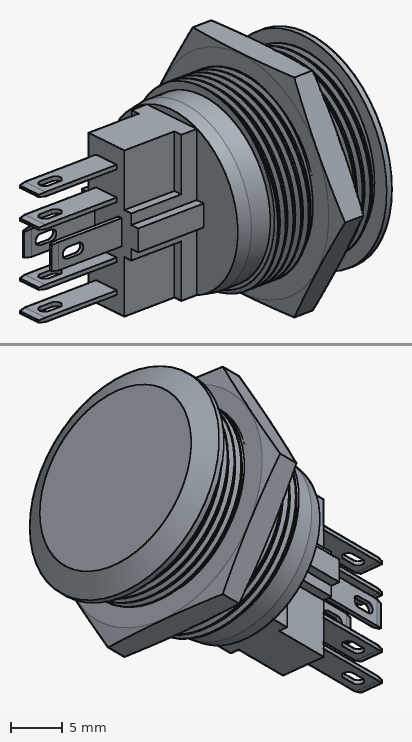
import cadquery as cq
import math


bezel_height = 2.0
bezel_rim_height = 0.7
bezel_rim_radius = 12.4
bezel_face_radius = 9.9

thread_length = 13.0
thread_pitch = 1.0
thread_major_radius = 10.9
thread_root_radius = 10.42
thread_half_angle = 30.0
thread_crest_width = 0.15
thread_embed = 0.1

collar_straight_length = 2.5
collar_taper_length = 1.5
collar_radius = 10.0
collar_end_radius = 9.75

block_length = 8.5
block_height = 18.0
block_narrow_width = 5.3
block_wide_width = 7.35
block_guide_width = 9.4
block_guide_height = 2.6
block_waist_height = 5.1
block_base_length = 2.0

terminal_width = 3.05
terminal_thickness = 0.5
terminal_tip_length = 0.75
terminal_tip_inset = 0.12
terminal_slot_length = 2.65
terminal_slot_width = 1.25
terminal_slot_from_tip = 2.7
terminal_root_depth = 1.0
flat_terminal_length = 10.0
upright_terminal_length = 9.0
flat_terminal_heights = (-6.8, -3.25, 3.25, 6.8)
upright_terminal_offset = 2.0

nut_across_flats = 26.0
nut_thickness = 3.0
nut_seat_distance = 5.0
nut_face_radius = 12.9
nut_corner_drop = 0.3
nut_corner_radius = nut_across_flats / 2 / math.cos(math.radians(30))

thread_end_y = -thread_length
collar_end_y = thread_end_y - collar_straight_length - collar_taper_length
block_end_y = collar_end_y - block_length


def make_turned_body():
    """Bezel, thread core and rear collar as one revolved profile."""
    profile = [
        (0, bezel_height),
        (bezel_face_radius, bezel_height),
        (bezel_rim_radius, bezel_rim_height),
        (bezel_rim_radius, 0),
        (thread_root_radius, 0),
        (thread_root_radius, thread_end_y),
        (collar_radius, thread_end_y),
        (collar_radius, thread_end_y - collar_straight_length),
        (collar_end_radius, collar_end_y),
        (0, collar_end_y),
    ]
    return cq.Workplane("XY").polyline(profile).close().revolve(360, (0, 0), (0, 1))


def make_thread_ridge():
    """Right-handed helical ridge, trimmed flush with both ends of the barrel."""
    flank_slope = math.tan(math.radians(thread_half_angle))
    base_radius = thread_root_radius - thread_embed
    crest_half = thread_crest_width / 2
    base_half = crest_half + (thread_major_radius - base_radius) * flank_slope
    helix = cq.Wire.makeHelix(
        thread_pitch,
        thread_length + 2 * thread_pitch,
        thread_root_radius,
        center=cq.Vector(0, 0, -thread_pitch),
    )
    section = [
        (base_radius, -thread_pitch - base_half),
        (thread_major_radius, -thread_pitch - crest_half),
        (thread_major_radius, -thread_pitch + crest_half),
        (base_radius, -thread_pitch + base_half),
    ]
    ridge = cq.Workplane("XZ").polyline(section).close().sweep(cq.Workplane(helix), isFrenet=True)
    barrel_zone = cq.Workplane("XY").circle(bezel_rim_radius).extrude(thread_length)
    ridge = ridge.intersect(barrel_zone)
    barrel_plane = cq.Plane(origin=(0, 0, 0), xDir=(0, 0, 1), normal=(0, -1, 0))
    return cq.Workplane(ridge.val().moved(cq.Location(barrel_plane)))


def make_terminal_block():
    """Block on the collar end with a wide base, a wide waist and a guide rib on each side."""
    collar_end = cq.Workplane("XZ", origin=(0, collar_end_y, 0))
    core = collar_end.rect(block_narrow_width, block_height).extrude(block_length)
    base = collar_end.rect(block_wide_width, block_height).extrude(block_base_length)
    waist = collar_end.rect(block_wide_width, block_waist_height).extrude(block_length)
    guides = collar_end.rect(block_guide_width, block_guide_height).extrude(block_length)
    return core.union(base).union(waist).union(guides)


def make_terminal(length):
    """Flat blade lying in XY with a tapered tip and a solder slot, rooted in the block."""
    straight_length = length - terminal_tip_length
    taper = math.degrees(math.atan(terminal_tip_inset / terminal_tip_length))
    blade = (
        cq.Workplane("XZ", origin=(0, block_end_y + terminal_root_depth, 0))
        .rect(terminal_width, terminal_thickness)
        .extrude(terminal_root_depth + straight_length)
    )
    tip = (
        cq.Workplane("XZ", origin=(0, block_end_y - straight_length, 0))
        .rect(terminal_width, terminal_thickness)
        .extrude(terminal_tip_length, taper=taper)
    )
    slot = (
        cq.Workplane("XY")
        .center(0, block_end_y - length + terminal_slot_from_tip)
        .slot2D(terminal_slot_length, terminal_slot_width, 90)
        .extrude(terminal_thickness, both=True)
    )
    return blade.union(tip).cut(slot)


def make_switch():
    """Switch body with four flat and two upright terminals."""
    switch = make_turned_body().union(make_thread_ridge()).union(make_terminal_block())
    flat_terminal = make_terminal(flat_terminal_length)
    for height in flat_terminal_heights:
        switch = switch.union(flat_terminal.translate((0, 0, height)))
    upright_terminal = make_terminal(upright_terminal_length).rotate((0, 0, 0), (0, 1, 0), 90)
    for side in (-1, 1):
        switch = switch.union(upright_terminal.translate((side * upright_terminal_offset, 0, 0)))
    return switch


def make_nut(switch):
    """Hex nut with corners on the X axis, both faces chamfered, and a bore that fits the barrel."""
    near_y = -nut_seat_distance
    far_y = near_y - nut_thickness
    hexagon = (
        cq.Workplane("XZ", origin=(0, near_y, 0))
        .polygon(6, 2 * nut_corner_radius)
        .extrude(nut_thickness)
    )
    envelope_profile = [
        (0, near_y),
        (nut_face_radius, near_y),
        (nut_corner_radius, near_y - nut_corner_drop),
        (nut_corner_radius, far_y + nut_corner_drop),
        (nut_face_radius, far_y),
        (0, far_y),
    ]
    envelope = cq.Workplane("XY").polyline(envelope_profile).close().revolve(360, (0, 0), (0, 1))
    return hexagon.intersect(envelope).cut(switch)


switch = make_switch()
nut = make_nut(switch)

result = cq.Compound.makeCompound([switch.val(), nut.val()])